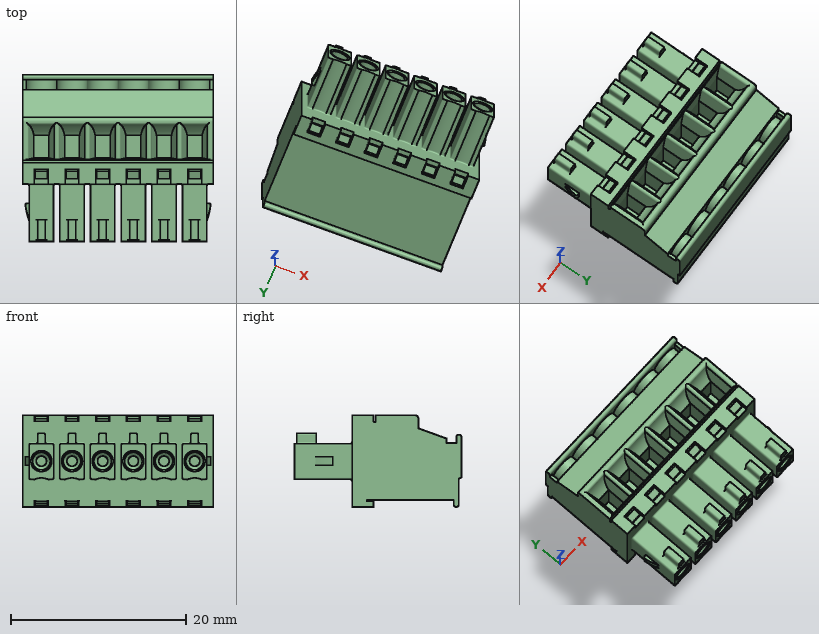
import cadquery as cq
import math


POLES = 6
WIDTH = 21.8
HEIGHT = 10.5
DEPTH = 12.51
PITCH = 17.5 / (POLES - 1)
POLE_X = [(i - (POLES - 1) / 2) * PITCH for i in range(POLES)]

BELLY_Z = 0.8
FRONT_FOOT_DEPTH = 2.46
LIP_RADIUS = 0.3
BACK_STEP = 0.3
BACK_STEP_Z = 3.4
BACK_STEP_CHAMFER = 0.17
LIP_TOP_Z = 8.28
TROUGH_Z = 7.35
TROUGH_FRONT_Y = 10.8
SLOPE_LOW_Z = 7.85
SLOPE_HIGH_Z = 9.0
HEAD_BACK_Y = 7.6
HEAD_RADIUS = 0.44
TOP_SLIT_WIDTH = 0.25
TOP_SLIT_DEPTH = 0.78
BELLY_SLIT_HEIGHT = 0.09
BELLY_SLIT_DEPTH = 0.76

BARREL_RADIUS = PITCH / 2

MOUTH_WIDTH = 3.42
MOUTH_HALF_WIDTH = MOUTH_WIDTH / 2
MOUTH_FRONT_Y = 2.81
MOUTH_BACK_Y = 7.05
MOUTH_ROUND = 0.26
THROAT_WIDTH = 1.7
THROAT_FRONT_Y = 2.99
THROAT_BACK_Y = 5.55
THROAT_Z = 8.61
THROAT_FLOOR_Z = 4.35
BACK_WALL_MID_Y = 6.28
BACK_WALL_MID_Z = 9.22

NOTCH_WIDTH = 1.57
NOTCH_DEPTH = 0.7
NOTCH_LENGTH = 1.68
WEDGE_WIDTH = 1.35
WEDGE_FRONT_Y = 0.59
WEDGE_BACK_Y = 1.45
WEDGE_LOW_DROP = 0.41
WEDGE_HIGH_DROP = 0.13

PIN_WIDTH = 2.81
PIN_LENGTH = 6.58
PIN_BOTTOM_Z = 3.16
PIN_TOP_Z = 7.25
PIN_EDGE_RADIUS = 0.22
PIN_ROOT_RADIUS = 0.17
GROOVE_HALF_WIDTH = 0.83
GROOVE_RISE = 0.17

SOCKET_Z = 5.25
SOCKET_MOUTH_RADIUS = 1.2
SOCKET_BORE_RADIUS = 1.0
SOCKET_FLOOR_RADIUS = 0.59
SOCKET_CHAMFER_DEPTH = 0.1
SOCKET_BORE_DEPTH = 0.94
SOCKET_DEPTH = 1.33

KEY_WIDTH = 0.87
KEY_TOP_Z = 8.45
KEY_BACK_Y = -4.08
KEY_FRONT_Y = -6.35
KEY_TOP_RADIUS = 0.22
KEY_ROOT_RADIUS = 0.17

LATCH_X = 10.6
LATCH_HEIGHT = 0.98
LATCH_BACK_Y = -2.18
LATCH_FRONT_Y = -4.16
LATCH_NOSE = 0.25
LATCH_BULGE = 0.05


def box(x_range, y_range, z_range):
    """Box from its limits along the three axes."""
    (x0, x1), (y0, y1), (z0, z1) = x_range, y_range, z_range
    return cq.Workplane("XY").box(x1 - x0, y1 - y0, z1 - z0, centered=False).translate((x0, y0, z0))


def at_poles(shape):
    """Copies of a shape modelled at X = 0, one on every pole."""
    copies = cq.Workplane("XY")
    for x in POLE_X:
        copies = copies.add(shape.translate((x, 0, 0)))
    return copies.combine()


def make_housing():
    lip_front_y = DEPTH - 2 * LIP_RADIUS
    lower_back_y = DEPTH - BACK_STEP
    foot_front_y = lower_back_y - 2 * LIP_RADIUS
    lip_spring_z = LIP_TOP_Z - LIP_RADIUS
    round_mid = HEAD_RADIUS * (1 - math.sqrt(0.5))
    slit_back_y = FRONT_FOOT_DEPTH + TOP_SLIT_WIDTH
    slit_spring_z = HEIGHT - TOP_SLIT_DEPTH + TOP_SLIT_WIDTH / 2
    profile = (
        cq.Workplane("YZ")
        .moveTo(0, 0)
        .lineTo(0, HEIGHT)
        .lineTo(FRONT_FOOT_DEPTH, HEIGHT)
        .lineTo(FRONT_FOOT_DEPTH, slit_spring_z)
        .threePointArc(
            (FRONT_FOOT_DEPTH + TOP_SLIT_WIDTH / 2, HEIGHT - TOP_SLIT_DEPTH), (slit_back_y, slit_spring_z)
        )
        .lineTo(slit_back_y, HEIGHT)
        .lineTo(HEAD_BACK_Y - HEAD_RADIUS, HEIGHT)
        .threePointArc(
            (HEAD_BACK_Y - round_mid, HEIGHT - round_mid), (HEAD_BACK_Y, HEIGHT - HEAD_RADIUS)
        )
        .lineTo(HEAD_BACK_Y, SLOPE_HIGH_Z)
        .lineTo(TROUGH_FRONT_Y, SLOPE_LOW_Z)
        .lineTo(TROUGH_FRONT_Y, TROUGH_Z)
        .lineTo(lip_front_y, TROUGH_Z)
        .lineTo(lip_front_y, lip_spring_z)
        .threePointArc((DEPTH - LIP_RADIUS, LIP_TOP_Z), (DEPTH, lip_spring_z))
        .lineTo(DEPTH, BACK_STEP_Z)
        .lineTo(lower_back_y, BACK_STEP_Z - BACK_STEP_CHAMFER)
        .lineTo(lower_back_y, LIP_RADIUS)
        .threePointArc((lower_back_y - LIP_RADIUS, 0), (foot_front_y, LIP_RADIUS))
        .lineTo(foot_front_y, BELLY_Z)
        .lineTo(FRONT_FOOT_DEPTH - BELLY_SLIT_DEPTH, BELLY_Z)
        .lineTo(FRONT_FOOT_DEPTH - BELLY_SLIT_DEPTH, BELLY_Z - BELLY_SLIT_HEIGHT)
        .lineTo(FRONT_FOOT_DEPTH, BELLY_Z - BELLY_SLIT_HEIGHT)
        .lineTo(FRONT_FOOT_DEPTH, 0)
        .close()
    )
    return profile.extrude(WIDTH / 2, both=True)


def make_trough_recess():
    """Space between the screw barrels, whose crowns reach the trough floor."""
    y_range = (TROUGH_FRONT_Y, DEPTH - 2 * LIP_RADIUS)
    half_span = POLES * BARREL_RADIUS
    axis_z = TROUGH_Z - BARREL_RADIUS
    recess = box((-half_span, half_span), y_range, (axis_z, TROUGH_Z))
    barrel = (
        cq.Workplane("XZ", origin=(0, y_range[0], axis_z))
        .circle(BARREL_RADIUS)
        .extrude(y_range[0] - y_range[1])
    )
    return recess.cut(at_poles(barrel))


def make_funnel():
    """Rounded mouth, tapering side walls, curved back wall and a straight throat."""
    wall_x = MOUTH_HALF_WIDTH - MOUTH_ROUND
    wall_z = HEIGHT - MOUTH_ROUND
    round_mid = MOUTH_ROUND * math.sqrt(0.5)
    half_throat = THROAT_WIDTH / 2
    across = (
        cq.Workplane("XZ")
        .moveTo(-half_throat, THROAT_Z)
        .lineTo(-wall_x, wall_z)
        .threePointArc(
            (-MOUTH_HALF_WIDTH + round_mid, wall_z + round_mid), (-MOUTH_HALF_WIDTH, HEIGHT)
        )
        .lineTo(MOUTH_HALF_WIDTH, HEIGHT)
        .threePointArc((MOUTH_HALF_WIDTH - round_mid, wall_z + round_mid), (wall_x, wall_z))
        .lineTo(half_throat, THROAT_Z)
        .close()
        .extrude(-DEPTH)
    )
    lengthwise = (
        cq.Workplane("YZ")
        .moveTo(THROAT_FRONT_Y, THROAT_Z)
        .lineTo(MOUTH_FRONT_Y, HEIGHT)
        .lineTo(MOUTH_BACK_Y, HEIGHT)
        .threePointArc(
            (MOUTH_BACK_Y - round_mid, wall_z + round_mid), (MOUTH_BACK_Y - MOUTH_ROUND, wall_z)
        )
        .threePointArc((BACK_WALL_MID_Y, BACK_WALL_MID_Z), (THROAT_BACK_Y, THROAT_Z))
        .close()
        .extrude(PITCH, both=True)
    )
    throat = box(
        (-half_throat, half_throat), (THROAT_FRONT_Y, THROAT_BACK_Y), (THROAT_FLOOR_Z, THROAT_Z)
    )
    return across.intersect(lengthwise).union(throat)


def make_notch():
    """Notch in the top front edge, cut around the latch wedge left standing in it."""
    floor_z = HEIGHT - NOTCH_DEPTH
    notch = box((-NOTCH_WIDTH / 2, NOTCH_WIDTH / 2), (0, NOTCH_LENGTH), (floor_z, HEIGHT))
    wedge = (
        cq.Workplane("YZ")
        .moveTo(WEDGE_FRONT_Y, floor_z)
        .lineTo(WEDGE_FRONT_Y, HEIGHT - WEDGE_LOW_DROP)
        .lineTo(WEDGE_BACK_Y, HEIGHT - WEDGE_HIGH_DROP)
        .lineTo(NOTCH_LENGTH, HEIGHT - WEDGE_HIGH_DROP)
        .lineTo(NOTCH_LENGTH, floor_z)
        .close()
        .extrude(WEDGE_WIDTH / 2, both=True)
    )
    return notch.cut(wedge)


def make_pin_blank():
    """Pin with rounded long edges and a shallow arched groove underneath."""
    pin = box(
        (-PIN_WIDTH / 2, PIN_WIDTH / 2), (-PIN_LENGTH, 0), (PIN_BOTTOM_Z, PIN_TOP_Z)
    ).edges("|Y").fillet(PIN_EDGE_RADIUS)
    groove = (
        cq.Workplane("XZ")
        .moveTo(-GROOVE_HALF_WIDTH, PIN_BOTTOM_Z)
        .threePointArc((0, PIN_BOTTOM_Z + GROOVE_RISE), (GROOVE_HALF_WIDTH, PIN_BOTTOM_Z))
        .close()
        .extrude(PIN_LENGTH)
    )
    return pin.cut(groove)


def make_key():
    """Coding key with a rounded top and flared roots."""
    half = KEY_WIDTH / 2
    foot = half + KEY_ROOT_RADIUS
    spring_z = PIN_TOP_Z + KEY_ROOT_RADIUS
    mid = KEY_ROOT_RADIUS * math.sqrt(0.5)
    base_z = PIN_TOP_Z - PIN_EDGE_RADIUS
    roots = (
        cq.Workplane("XZ", origin=(0, KEY_BACK_Y, 0))
        .moveTo(-foot, base_z)
        .lineTo(-foot, PIN_TOP_Z)
        .threePointArc((-foot + mid, spring_z - mid), (-half, spring_z))
        .lineTo(half, spring_z)
        .threePointArc((foot - mid, spring_z - mid), (foot, PIN_TOP_Z))
        .lineTo(foot, base_z)
        .close()
        .extrude(KEY_BACK_Y - KEY_FRONT_Y)
    )
    bar = box((-half, half), (KEY_FRONT_Y, KEY_BACK_Y), (base_z, KEY_TOP_Z))
    return bar.edges("|Y and >Z").fillet(KEY_TOP_RADIUS).union(roots)


def make_socket():
    """Chamfered mouth, straight bore and a cone down to a flat floor."""
    return (
        cq.Workplane("XY")
        .moveTo(0, -PIN_LENGTH)
        .lineTo(SOCKET_MOUTH_RADIUS, -PIN_LENGTH)
        .lineTo(SOCKET_BORE_RADIUS, -PIN_LENGTH + SOCKET_CHAMFER_DEPTH)
        .lineTo(SOCKET_BORE_RADIUS, -PIN_LENGTH + SOCKET_BORE_DEPTH)
        .lineTo(SOCKET_FLOOR_RADIUS, -PIN_LENGTH + SOCKET_DEPTH)
        .lineTo(0, -PIN_LENGTH + SOCKET_DEPTH)
        .close()
        .revolve(360, (0, 0, 0), (0, 1, 0))
        .translate((0, 0, SOCKET_Z))
    )


def make_right_latch():
    """Snap nose on the outer side of the last pin."""
    pin_side_x = POLE_X[-1] + PIN_WIDTH / 2
    root_x = POLE_X[-1] + PIN_WIDTH / 4
    nose_y = LATCH_BACK_Y - LATCH_NOSE
    mid_x = (pin_side_x + LATCH_X) / 2 + LATCH_BULGE
    return (
        cq.Workplane("XY", origin=(0, 0, SOCKET_Z - LATCH_HEIGHT / 2))
        .moveTo(root_x, LATCH_BACK_Y)
        .lineTo(LATCH_X - LATCH_NOSE, LATCH_BACK_Y)
        .radiusArc((LATCH_X, nose_y), LATCH_NOSE)
        .threePointArc((mid_x, (nose_y + LATCH_FRONT_Y) / 2), (pin_side_x, LATCH_FRONT_Y))
        .lineTo(root_x, LATCH_FRONT_Y)
        .close()
        .extrude(LATCH_HEIGHT)
    )


body = make_housing().union(at_poles(make_pin_blank()))
margin = 0.02
reach_x = POLE_X[-1] + PIN_WIDTH / 2 + margin
pin_roots = cq.selectors.BoxSelector(
    (-reach_x, -margin, PIN_BOTTOM_Z - margin), (reach_x, margin, PIN_TOP_Z + margin), boundingbox=True
)
body = body.edges(pin_roots).fillet(PIN_ROOT_RADIUS)

right_latch = make_right_latch()
body = body.union(at_poles(make_key())).union(right_latch).union(right_latch.mirror("YZ"))

top_notch = make_notch()
bottom_notch = top_notch.mirror("XY").translate((0, 0, HEIGHT))
body = body.cut(make_trough_recess())
for cavity in (make_funnel(), top_notch, bottom_notch, make_socket()):
    body = body.cut(at_poles(cavity))

result = body